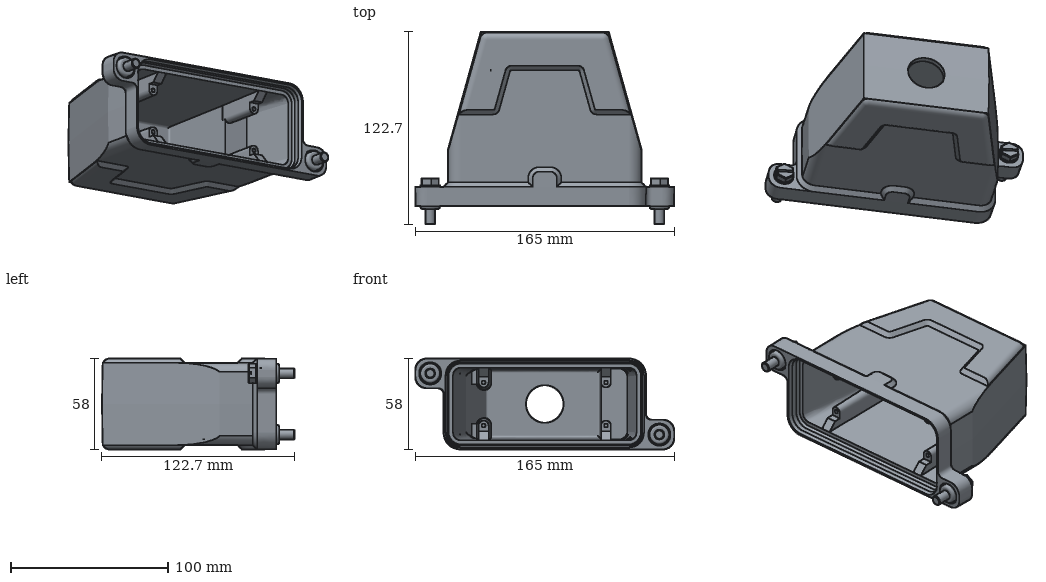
import cadquery as cq
import math


FLANGE_THICKNESS = 12.2
FLANGE_HALF_LENGTH = 64.5
HALF_HEIGHT = 29.0
FLANGE_CORNER_RADIUS = 11.0
EAR_HALF_SPAN = 82.5
EAR_HEIGHT = 19.1
EAR_CORNER_RADIUS = 7.5
EAR_ROOT_RADIUS = 3.6
DRAFT = 1.0

STEP = 2.89
BEVEL = 45.0
BODY_HALF_LENGTH = FLANGE_HALF_LENGTH - STEP
BODY_HALF_HEIGHT = HALF_HEIGHT - STEP
BODY_CORNER_RADIUS = FLANGE_CORNER_RADIUS - STEP
HOOD_TOP = 111.0
SLOPE_START = 36.1
SLOPE_ANGLE = 15.6
HOOD_EDGE_RADIUS = 4.6
CABLE_HOLE_DIAMETER = 23.8

FIELD_SHOULDER = 58.2
FIELD_TOP = 86.5
FIELD_TOP_HALF_LENGTH = 22.0
FIELD_TOP_RADIUS = 1.3
FIELD_SHOULDER_RADIUS = 4.1

TAB_HALF_LENGTH = 10.5
TAB_TOP = 24.8
TAB_CORNER_RADIUS = 7.1

RIM_WIDTH = 1.3
RECESS_STEP = 1.0
RECESS_LEAD_IN = 2.5
RECESS_STRAIGHT = 3.6
RECESS_DEPTH = 8.2

CAVITY_HALF_LENGTH = 58.4
CAVITY_HALF_HEIGHT = 23.1
CAVITY_CORNER_RADIUS = 5.0
CAVITY_END_DRAFT = 8.9
CAVITY_BACK = 107.2
BACK_HALF_LENGTH = 37.3
SHELF_DEPTH = 46.2
SHELF_EDGE = 36.0
BACK_EDGE_RADIUS = 1.3

POST_X = 39.0
POST_Z = 13.7
POST_RADIUS = 3.1
POST_FRONT = 18.3
POST_DRAFT = 1.2
POST_HOLE_DIAMETER = 2.5
POST_HOLE_DEPTH = 13.2
FOOT_TOP = 17.5
FOOT_FRONT = 13.7
PAD_OUTER_X = 47.0
PAD_INNER_Z = 12.7
PAD_FRONT = 74.2

SCREW_X = 73.0
SCREW_Z = HALF_HEIGHT - EAR_HEIGHT / 2
SHANK_RADIUS = 3.1
SCREW_TIP = -11.7
TIP_CHAMFER = 0.5
COLLAR_RADIUS = 6.3
COLLAR_HEIGHT = 2.0
COLLAR_ROUND = 1.6
COLLAR_SEAT_RADIUS = 7.1
COLLAR_SEAT_DEPTH = 2.5
WASHER_RADIUS = 6.3
WASHER_THICKNESS = 1.0
HEAD_HEIGHT = 4.6
HEAD_ACROSS_CORNERS = 12.4
HEAD_TURN = 5.0
HEAD_CHAMFER = 0.5
SLOT_WIDTH = 1.5
SLOT_DEPTH = 2.0

SLOPE = math.tan(math.radians(SLOPE_ANGLE))
MIRRORED_SIDES = (1, -1)
SCREW_PLACES = [(-SCREW_X, SCREW_Z), (SCREW_X, -SCREW_Z)]


def workplane_at(y, towards):
    """Workplane parallel to the mating face; it extrudes towards +Y (towards=1) or -Y (towards=-1)."""
    return cq.Workplane(cq.Plane(origin=(0, y, 0), xDir=(1, 0, 0), normal=(0, towards, 0)))


def rounded_plate(length, height, radius, y, depth, taper=0, towards=1):
    outline = cq.Sketch().rect(length, height).vertices().fillet(radius)
    return workplane_at(y, towards).placeSketch(outline).extrude(depth, taper=taper)


def both_faces(shape):
    """A shape on the +Z side together with its mirror image on the -Z side."""
    return shape.union(shape.mirror("XY"))


def slope_x(y):
    """Half length of the hood where its leaning end wall passes height y."""
    return BODY_HALF_LENGTH - (y - SLOPE_START) * SLOPE



def make_flange():
    def drafted_plate(length, height, radius):
        return rounded_plate(length, height, radius, FLANGE_THICKNESS, FLANGE_THICKNESS, DRAFT, towards=-1)

    flange = drafted_plate(2 * FLANGE_HALF_LENGTH, 2 * HALF_HEIGHT, FLANGE_CORNER_RADIUS)
    for side in MIRRORED_SIDES:
        ear = drafted_plate(EAR_HALF_SPAN, EAR_HEIGHT, EAR_CORNER_RADIUS)
        flange = flange.union(ear.translate((-side * EAR_HALF_SPAN / 2, 0, side * SCREW_Z)))
    ear_inner_z = HALF_HEIGHT - EAR_HEIGHT
    for side in MIRRORED_SIDES:
        root = (-side * FLANGE_HALF_LENGTH, FLANGE_THICKNESS / 2, side * ear_inner_z)
        flange = flange.edges(cq.selectors.NearestToPointSelector(root)).fillet(EAR_ROOT_RADIUS)
    return flange


def make_half_profile():
    """+Z half of the drafted hood with its leaning end walls, before any rounding."""
    half = (
        cq.Workplane("XY")
        .polyline([
            (-BODY_HALF_LENGTH, 0),
            (-BODY_HALF_LENGTH, SLOPE_START),
            (-slope_x(HOOD_TOP), HOOD_TOP),
            (slope_x(HOOD_TOP), HOOD_TOP),
            (BODY_HALF_LENGTH, SLOPE_START),
            (BODY_HALF_LENGTH, 0),
        ])
        .close()
        .extrude(HALF_HEIGHT, taper=DRAFT)
    )
    below_flange_back = cq.Workplane("XY").box(
        2 * FLANGE_HALF_LENGTH, 2 * RECESS_DEPTH, 2 * FLANGE_HALF_LENGTH
    )
    return half.cut(below_flange_back)


def make_field():
    """Sunken field with bevelled walls on the +Z face, open towards the flange."""
    narrow_foot_half = FIELD_TOP_HALF_LENGTH + (FIELD_TOP - FIELD_SHOULDER) * SLOPE
    wide_half = 2 * FLANGE_HALF_LENGTH
    outline = (
        cq.Sketch()
        .polygon([
            (-wide_half, 0),
            (-wide_half, FIELD_SHOULDER),
            (-narrow_foot_half, FIELD_SHOULDER),
            (-FIELD_TOP_HALF_LENGTH, FIELD_TOP),
            (FIELD_TOP_HALF_LENGTH, FIELD_TOP),
            (narrow_foot_half, FIELD_SHOULDER),
            (wide_half, FIELD_SHOULDER),
            (wide_half, 0),
            (-wide_half, 0),
        ])
    )
    outline = outline.vertices(">Y").fillet(FIELD_TOP_RADIUS).reset()
    shoulder_corners = cq.selectors.BoxSelector(
        (-wide_half / 2, FIELD_SHOULDER - STEP, -STEP), (wide_half / 2, FIELD_SHOULDER + 0.2, STEP)
    )
    outline = outline.vertices(shoulder_corners).fillet(FIELD_SHOULDER_RADIUS)
    return cq.Workplane("XY", origin=(0, 0, BODY_HALF_HEIGHT)).placeSketch(outline).extrude(STEP, taper=-BEVEL)


def make_tab():
    """Bevelled tab on the +Z face that runs into the flange."""
    outline = cq.Sketch().rect(2 * TAB_HALF_LENGTH, 2 * TAB_TOP).vertices().fillet(TAB_CORNER_RADIUS)
    tab = cq.Workplane("XY", origin=(0, 0, BODY_HALF_HEIGHT)).placeSketch(outline).extrude(STEP, taper=BEVEL)
    flange_side = cq.Workplane("XY").box(4 * TAB_HALF_LENGTH, 2 * TAB_TOP, 4 * HALF_HEIGHT)
    return tab.cut(flange_side.translate((0, FLANGE_THICKNESS - TAB_TOP, 0)))


def make_hood():
    half_profile = make_half_profile()
    body = rounded_plate(
        2 * BODY_HALF_LENGTH, 2 * BODY_HALF_HEIGHT, BODY_CORNER_RADIUS, RECESS_DEPTH, HOOD_TOP
    ).intersect(both_faces(half_profile))

    rounded_edges = cq.selectors.BoxSelector(
        (-FLANGE_HALF_LENGTH, SLOPE_START + STEP, STEP),
        (FLANGE_HALF_LENGTH, HOOD_TOP + STEP, HALF_HEIGHT + STEP),
    )
    raised = both_faces(half_profile.edges(rounded_edges).fillet(HOOD_EDGE_RADIUS))
    below_shoulder = cq.Workplane("XY").box(4 * FLANGE_HALF_LENGTH, 2 * FIELD_SHOULDER, 4 * HALF_HEIGHT)
    field = make_field()
    raised = raised.cut(below_shoulder).cut(field).cut(field.mirror("XY"))
    return body.union(raised)


def make_outside():
    skirt = rounded_plate(
        2 * FLANGE_HALF_LENGTH, 2 * HALF_HEIGHT, FLANGE_CORNER_RADIUS, FLANGE_THICKNESS, STEP, BEVEL
    )
    tab = make_tab()
    return make_flange().union(skirt).union(make_hood()).union(tab).union(tab.mirror("XY"))



def make_gasket_recess():
    """Recess that narrows in two drafted stages with a straight stage between them."""
    length = 2 * (FLANGE_HALF_LENGTH - RIM_WIDTH)
    height = 2 * (HALF_HEIGHT - RIM_WIDTH)
    radius = FLANGE_CORNER_RADIUS - RIM_WIDTH
    narrowing_y = RECESS_LEAD_IN + RECESS_STRAIGHT
    narrowing = RECESS_DEPTH - narrowing_y
    lead_in = rounded_plate(
        length, height, radius, 0, RECESS_LEAD_IN, math.degrees(math.atan(RECESS_STEP / RECESS_LEAD_IN))
    )
    length -= 2 * RECESS_STEP
    height -= 2 * RECESS_STEP
    radius -= RECESS_STEP
    straight = rounded_plate(length, height, radius, RECESS_LEAD_IN, RECESS_STRAIGHT)
    end = rounded_plate(
        length, height, radius, narrowing_y, narrowing, math.degrees(math.atan(RECESS_STEP / narrowing))
    )
    return lead_in.union(straight).union(end)


def make_post(back, draft):
    """Post for one insert screw at +X and +Z, from its foot to height `back`; it reaches into the wall."""
    root_z = CAVITY_HALF_HEIGHT + STEP
    post = (
        workplane_at(POST_FRONT, 1)
        .moveTo(POST_X - POST_RADIUS, -root_z)
        .lineTo(POST_X - POST_RADIUS, -POST_Z)
        .threePointArc((POST_X, POST_RADIUS - POST_Z), (POST_X + POST_RADIUS, -POST_Z))
        .lineTo(POST_X + POST_RADIUS, -root_z)
        .close()
        .extrude(back - POST_FRONT, taper=-draft)
    )
    foot = (
        cq.Workplane("YZ", origin=(POST_X - POST_RADIUS, 0, 0))
        .polyline([
            (POST_FRONT, FOOT_TOP),
            (FOOT_FRONT, FOOT_TOP),
            (RECESS_DEPTH, CAVITY_HALF_HEIGHT),
            (RECESS_DEPTH, root_z),
            (POST_FRONT, root_z),
        ])
        .close()
        .extrude(2 * POST_RADIUS)
    )
    hole = (
        workplane_at(POST_FRONT, 1)
        .center(POST_X, -POST_Z)
        .circle(POST_HOLE_DIAMETER / 2)
        .extrude(POST_HOLE_DEPTH)
    )
    return post.union(foot).cut(hole)


def make_pad():
    """Pad between a post and the leaning wall at the -X end, on the +Z side."""
    root_z = CAVITY_HALF_HEIGHT + STEP
    return cq.Workplane("XY").box(
        PAD_OUTER_X - POST_X, CAVITY_BACK + STEP - PAD_FRONT, root_z - PAD_INNER_Z, centered=False
    ).translate((-PAD_OUTER_X, PAD_FRONT, PAD_INNER_Z))


def make_cavity():
    """Space inside the hood, without the posts and pads that stand in it."""
    depth = CAVITY_BACK - RECESS_DEPTH
    back_shrink_x = depth * math.tan(math.radians(CAVITY_END_DRAFT))
    back_shrink_z = depth * math.tan(math.radians(DRAFT))
    cavity = (
        workplane_at(RECESS_DEPTH, 1)
        .rect(2 * CAVITY_HALF_LENGTH, 2 * CAVITY_HALF_HEIGHT)
        .workplane(offset=depth)
        .rect(2 * (CAVITY_HALF_LENGTH - back_shrink_x), 2 * (CAVITY_HALF_HEIGHT - back_shrink_z))
        .loft(ruled=True)
        .edges("not(|X or |Z)")
        .fillet(CAVITY_CORNER_RADIUS)
    )
    leaning_wall = (
        cq.Workplane("XY", origin=(0, 0, -HALF_HEIGHT))
        .polyline([
            (-BACK_HALF_LENGTH, CAVITY_BACK),
            (-BACK_HALF_LENGTH - CAVITY_BACK * SLOPE, 0),
            (-2 * CAVITY_HALF_LENGTH, CAVITY_BACK),
        ])
        .close()
        .extrude(2 * HALF_HEIGHT)
    )
    shelf = (
        cq.Workplane("XY", origin=(0, 0, -HALF_HEIGHT))
        .polyline([
            (SHELF_EDGE, SHELF_DEPTH),
            (SHELF_EDGE - (CAVITY_BACK - SHELF_DEPTH) * math.tan(math.radians(DRAFT)), CAVITY_BACK),
            (CAVITY_HALF_LENGTH, CAVITY_BACK),
            (CAVITY_HALF_LENGTH, SHELF_DEPTH),
        ])
        .close()
        .extrude(2 * HALF_HEIGHT)
    )
    cavity = cavity.cut(leaning_wall).cut(shelf)
    cavity = cavity.edges(">Y").fillet(BACK_EDGE_RADIUS)
    long_post = make_post(CAVITY_BACK + STEP, POST_DRAFT).mirror("YZ")
    short_post = make_post(SHELF_DEPTH + STEP, 0)
    for half in (long_post, short_post, make_pad()):
        cavity = cavity.cut(half).cut(half.mirror("XY"))
    return cavity


def make_housing():
    housing = make_outside().cut(make_gasket_recess()).cut(make_cavity())
    cable_hole = workplane_at(CAVITY_BACK - STEP, 1).circle(CABLE_HOLE_DIAMETER / 2).extrude(HOOD_TOP)
    housing = housing.cut(cable_hole)
    for x, z in SCREW_PLACES:
        shank_hole = workplane_at(0, 1).center(x, -z).circle(SHANK_RADIUS).extrude(FLANGE_THICKNESS)
        collar_seat = workplane_at(0, 1).center(x, -z).circle(COLLAR_SEAT_RADIUS).extrude(COLLAR_SEAT_DEPTH)
        housing = housing.cut(shank_hole).cut(collar_seat)
    return housing



def make_screw(x, z):
    """Captive screw along Y with a slotted hexagon head, a washer and a rounded collar."""
    shank = (
        workplane_at(SCREW_TIP, 1)
        .circle(SHANK_RADIUS)
        .extrude(FLANGE_THICKNESS - SCREW_TIP)
        .faces("<Y")
        .chamfer(TIP_CHAMFER)
    )
    collar = (
        workplane_at(-COLLAR_HEIGHT, 1)
        .circle(COLLAR_RADIUS)
        .extrude(COLLAR_HEIGHT + COLLAR_SEAT_DEPTH)
        .faces("<Y")
        .fillet(COLLAR_ROUND)
    )
    washer = workplane_at(FLANGE_THICKNESS, 1).circle(WASHER_RADIUS).extrude(WASHER_THICKNESS)
    head_foot = FLANGE_THICKNESS + WASHER_THICKNESS
    head_top = head_foot + HEAD_HEIGHT
    head = (
        workplane_at(head_foot, 1)
        .transformed(rotate=(0, 0, 90))
        .polygon(6, HEAD_ACROSS_CORNERS)
        .extrude(HEAD_HEIGHT)
        .faces(">Y")
        .chamfer(HEAD_CHAMFER)
    )
    slot = cq.Workplane("XY").box(2 * HEAD_ACROSS_CORNERS, 2 * SLOT_DEPTH, SLOT_WIDTH).translate((0, head_top, 0))
    head = head.cut(slot).rotate((0, 0, 0), (0, 1, 0), HEAD_TURN)
    return shank.union(collar).union(washer).union(head).translate((x, 0, z))


housing = make_housing()
screws = [make_screw(x, z) for x, z in SCREW_PLACES]

result = cq.Compound.makeCompound([housing.val(), *[screw.val() for screw in screws]])